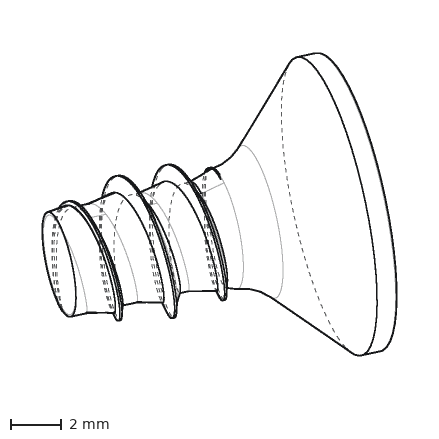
import cadquery as cq
import math

length = 12.0
head_radius = 6.0
head_edge_fillet = 0.08
rim_depth = 0.84
neck_start_depth = 3.77
neck_end_depth = 5.19
thread_start_depth = 5.165
tip_excess = 1.5
neck_end_radius = 2.41
core_start_depth = 6.13
core_radius = 2.10
tip_rim_radius = 2.0
tip_hollow_depth = 0.17
neck_start_radius = head_radius - (neck_start_depth - rim_depth)

pitch = 2.14
first_crest_depth = 5.025
crest_radius = 3.0
start_crest_radius = 2.58
full_crest_turns = (1.0, 1.75)
run_in_slope = 0.8
run_out_slope = 0.57
first_turn = -0.25
last_turn = 3.625
points_per_turn = 24

crest_half_width = 0.045
head_flank_knee = 0.22
head_flank_knee_drop = 0.50
head_flank_foot = 0.47
head_flank_foot_drop = 0.90
tip_flank_run_per_drop = 0.34
ramp_end = 1.40
ramp_end_sink = 0.015
ramp_top_radius = 2.32
ramp_share_of_crest_height = 0.45
buried_radius = 0.9
join_tolerance = 0.0001


def make_body():
    """Head, neck and core as one revolved solid."""
    profile = (
        cq.Workplane("ZY")
        .lineTo(head_radius, 0)
        .lineTo(head_radius, -rim_depth)
        .lineTo(neck_start_radius, -neck_start_depth)
        .tangentArcPoint((neck_end_radius, -neck_end_depth), relative=False)
        .lineTo(core_radius, -core_start_depth)
        .lineTo(core_radius, -length - tip_excess)
        .lineTo(0, -length - tip_excess)
        .close()
    )
    body = profile.revolve(360, (0, 0, 0), (0, 1, 0))
    return body.faces(">Y").edges().fillet(head_edge_fillet)


def crest_radius_at(turn):
    """The crest rises over the first turn, stays full, then runs out toward the tip."""
    full_from, full_to = full_crest_turns
    if turn < 0:
        return start_crest_radius + run_in_slope * turn
    if turn < full_from:
        return start_crest_radius + (crest_radius - start_crest_radius) * turn / full_from
    return crest_radius - run_out_slope * max(0, turn - full_to)


def thread_section(turn):
    """Corners (depth, radius) of the thread section, from the head side to the tip side."""
    depth = first_crest_depth + pitch * turn
    crest = crest_radius_at(turn)
    crest_depth = max(depth, neck_end_depth)
    ramp_top = min(ramp_top_radius, core_radius + ramp_share_of_crest_height * (crest - core_radius))
    tip_flank_foot = crest_half_width + tip_flank_run_per_drop * (crest - ramp_top)
    return [
        (depth - head_flank_foot, buried_radius),
        (depth - head_flank_foot, crest - head_flank_foot_drop),
        (depth - head_flank_knee, crest - head_flank_knee_drop),
        (crest_depth - crest_half_width, crest),
        (crest_depth + crest_half_width, crest),
        (depth + tip_flank_foot, ramp_top),
        (depth + ramp_end, core_radius - ramp_end_sink),
        (depth + ramp_end, buried_radius),
    ]


def on_helix(turn, corner):
    """Place a section corner in space; turns run from -X through -Z, +X and +Z."""
    depth, radius = corner
    angle = 2 * math.pi * turn
    return cq.Vector(-radius * math.cos(angle), -depth, -radius * math.sin(angle))


def section_face(section, turn):
    corners = [on_helix(turn, corner) for corner in section]
    return cq.Face.makeFromWires(cq.Wire.makePolygon(corners, close=True))


def make_thread():
    """Thread solid: ruled strips between the helical corner curves, trimmed to the shank."""
    steps = round((last_turn - first_turn) * points_per_turn)
    turns = [first_turn + step / points_per_turn for step in range(steps + 1)]
    sections = [thread_section(turn) for turn in turns]
    curves = []
    for corner_path in zip(*sections):
        points = [on_helix(turn, corner) for turn, corner in zip(turns, corner_path)]
        curves.append(cq.Edge.makeSpline(points))
    faces = []
    for index, curve in enumerate(curves):
        faces.append(cq.Face.makeRuledSurface(curves[index - 1], curve))
    faces.append(section_face(sections[0], turns[0]))
    faces.append(section_face(sections[-1], turns[-1]))
    thread = cq.Solid.makeSolid(cq.Shell.makeShell(faces)).fix()
    return make_trim(thread_start_depth, length).intersect(cq.Workplane(thread))


def make_tip_hollow():
    """Shallow cone that hollows the tip face inside its narrow rim."""
    profile = (
        cq.Workplane("ZY", origin=(0, -length, 0))
        .lineTo(tip_rim_radius, 0)
        .lineTo(0, tip_hollow_depth)
        .close()
    )
    return profile.revolve(360, (0, 0, 0), (0, 1, 0))


def make_trim(depth, reach):
    """Disc-shaped space starting at a depth and reaching along the screw axis toward the tip."""
    return cq.Workplane("XZ", origin=(0, -depth, 0)).circle(head_radius).extrude(reach)


screw = make_body().union(make_thread(), tol=join_tolerance)
screw = screw.cut(make_trim(length, 2 * tip_excess))
result = screw.cut(make_tip_hollow())